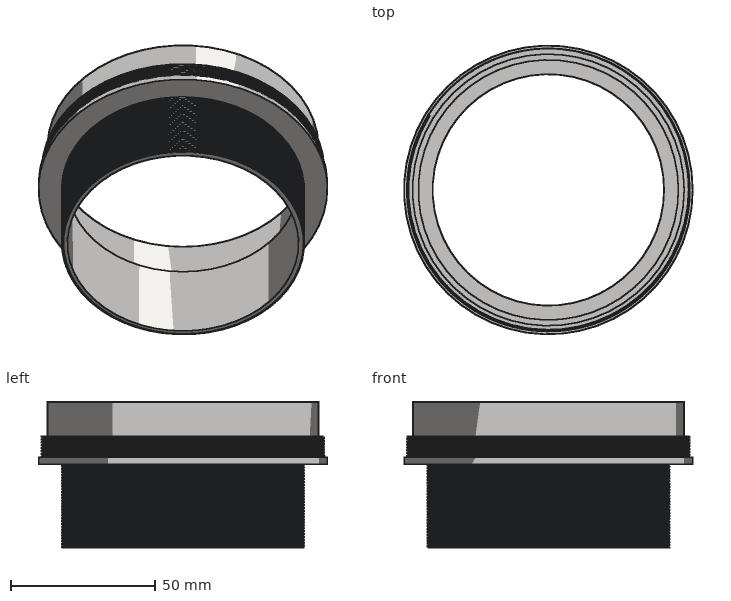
import cadquery as cq
import math

total_height = 50.5
lower_thread_length = 28.9
flange_thickness = 2.5
upper_thread_length = 7.2
flange_top = lower_thread_length + flange_thickness
upper_thread_top = flange_top + upper_thread_length
rim_height = total_height - upper_thread_top

bore_diameter = 80.0
counterbore_diameter = 90.0
rim_diameter = 94.0
flange_diameter = 100.0
lower_thread_diameter = 84.0
upper_thread_diameter = 98.0

thread_pitch = 1.0
flank_angle = math.radians(30)
crest_flat = thread_pitch / 8
root_flat = thread_pitch / 6
thread_depth = (thread_pitch - crest_flat - root_flat) / 2 / math.tan(flank_angle)
flank_height = thread_depth * math.tan(flank_angle)
lower_crest_height = crest_flat / 2
upper_crest_drop = 0.14
upper_crest_height = flange_top - upper_crest_drop

coil_overrun = 2
coil_bore_margin = 2.0


def tube(diameter, bottom, height, inner_diameter=bore_diameter):
    """Plain tube on the part axis, bored through to inner_diameter."""
    plane = cq.Workplane("XY").workplane(offset=bottom)
    return plane.circle(diameter / 2).circle(inner_diameter / 2).extrude(height)


def turn_of_helix(radius, bottom):
    """Edge of one right-hand helix turn that starts on the +X side."""
    start_centre = cq.Vector(0, 0, bottom)
    return cq.Wire.makeHelix(thread_pitch, thread_pitch, radius, center=start_centre).Edges()[0]


def ruled_strips(helices):
    """Ruled faces that join each helix turn to the next one in the list."""
    return [cq.Face.makeRuledSurface(first, second) for first, second in zip(helices, helices[1:])]


def thread_coil(diameter, bottom, turns):
    """Threaded tube with helical end ramps; its lowest thread root begins at height bottom."""
    root_radius = diameter / 2 - thread_depth
    crest_radius = diameter / 2
    inner_radius = bore_diameter / 2 - coil_bore_margin
    tooth = [
        (root_radius, 0),
        (crest_radius, flank_height),
        (crest_radius, flank_height + crest_flat),
        (root_radius, 2 * flank_height + crest_flat),
    ]
    top = bottom + turns * thread_pitch
    turn_heights = [bottom + turn * thread_pitch for turn in range(turns)]

    outer_helices = [turn_of_helix(r, height + rise) for height in turn_heights for r, rise in tooth]
    outer_helices.append(turn_of_helix(root_radius, top))
    inner_helices = [turn_of_helix(inner_radius, height) for height in turn_heights + [top]]

    faces = ruled_strips(outer_helices) + ruled_strips(inner_helices)
    for end, height in ((0, bottom), (-1, top)):
        faces.append(cq.Face.makeRuledSurface(inner_helices[end], outer_helices[end]))
        step_profile = [(inner_radius, 0), *tooth, (root_radius, thread_pitch), (inner_radius, thread_pitch)]
        step_points = [cq.Vector(r, 0, height + rise) for r, rise in step_profile]
        faces.append(cq.Face.makeFromWires(cq.Wire.makePolygon(step_points, close=True)))
    return cq.Workplane(cq.Solid.makeSolid(cq.Shell.makeShell(faces)))


def threaded_stage(diameter, bottom, height, crest_height):
    """Threaded tube cut flat at both ends, with a thread crest on the +X side at crest_height."""
    tooth_bottom = crest_height - crest_flat / 2 - flank_height
    coil_bottom = tooth_bottom - coil_overrun * thread_pitch
    turns = math.ceil(height / thread_pitch) + 2 * coil_overrun
    return thread_coil(diameter, coil_bottom, turns).intersect(tube(flange_diameter, bottom, height))


lower_stage = threaded_stage(lower_thread_diameter, 0, lower_thread_length, lower_crest_height)
flange = tube(flange_diameter, lower_thread_length, flange_thickness)
upper_stage = threaded_stage(upper_thread_diameter, flange_top, upper_thread_length, upper_crest_height)
upper_stage = upper_stage.cut(tube(counterbore_diameter, flange_top, upper_thread_length))
rim = tube(rim_diameter, upper_thread_top, rim_height, counterbore_diameter)

result = lower_stage.union(flange).union(upper_stage).union(rim)